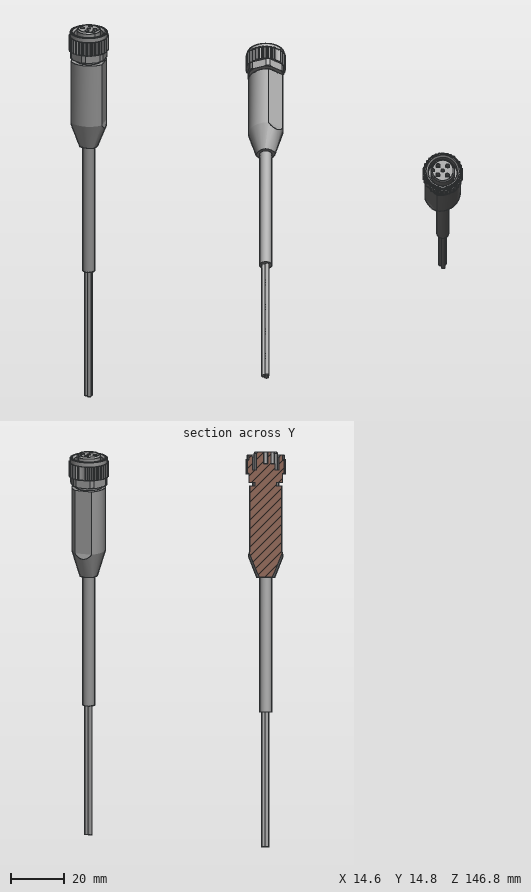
import cadquery as cq
import math

total_length = 146.8
wire_length = 50.0
cable_top = 100.1
taper_top = 109.8
grip_top = 134.2
nut_bottom = 135.3
knurl_bottom = 138.6
knurl_top = 143.9
collar_top = 145.6

wire_count = 3
wire_diameter = 1.5
wire_spacing = 1.4
cable_diameter = 4.5

grip_half_depth = 6.2
grip_half_width = 6.0
grip_corner_y = 3.2

taper_half_width = 7.2
taper_end_half_width = 3.4
taper_end_half_depth = 3.2
taper_end_corner_x = 2.8
taper_end_corner_y = 2.3

ledge_height = 1.2
ledge_width = 0.3

neck_diameter = 9.7
nut_diameter = 13.8
hex_across_flats = 12.6
hex_corner_chamfer = 0.3
collar_bevel_width = 0.3
collar_bevel_height = 0.1
bore_diameter = 10.9
bore_mouth_diameter = 12.3
bore_floor = 140.0

tooth_count = 32
tooth_tip_diameter = 14.8
tooth_tip_angle = 2.8
flute_root_diameter = 14.0

insert_diameter = 8.8
insert_top_diameter = 7.8
insert_chamfer_height = 0.6
outer_contact_count = 4
contact_circle_radius = 2.5
contact_diameter = 1.5
center_contact_diameter = 1.15
contact_depth = 4.4
key_diameter = 1.15
key_angle = -45
key_radius = 3.7


def cylinder(diameter, bottom, top):
    return cq.Workplane("XY").workplane(offset=bottom).circle(diameter / 2).extrude(top - bottom)


def frustum(bottom_diameter, top_diameter, bottom, top):
    return (
        cq.Workplane("XY").workplane(offset=bottom).circle(bottom_diameter / 2)
        .workplane(offset=top - bottom).circle(top_diameter / 2).loft()
    )


def four_arc_outline(plane, half_width, half_depth, corner_x, corner_y):
    """Closed outline of four outward arcs meeting at the corners."""
    return (
        plane.moveTo(corner_x, -corner_y)
        .threePointArc((half_width, 0), (corner_x, corner_y))
        .threePointArc((0, half_depth), (-corner_x, corner_y))
        .threePointArc((-half_width, 0), (-corner_x, -corner_y))
        .threePointArc((0, -half_depth), (corner_x, -corner_y))
        .close()
    )


def polar(radius, degrees):
    angle = math.radians(degrees)
    return (radius * math.cos(angle), radius * math.sin(angle))


def make_wires():
    """Three wires in a triangle, one of them towards -X."""
    bundle_radius = wire_spacing / math.sqrt(3)
    wires = cq.Workplane("XY")
    for index in range(wire_count):
        x, y = polar(bundle_radius, 180 + index * 360 / wire_count)
        wires = wires.union(cylinder(wire_diameter, 0, wire_length).translate((x, y, 0)))
    return wires


def make_grip():
    return (
        cq.Workplane("XY").workplane(offset=taper_top)
        .moveTo(grip_half_width, -grip_corner_y)
        .lineTo(grip_half_width, grip_corner_y)
        .threePointArc((0, grip_half_depth), (-grip_half_width, grip_corner_y))
        .lineTo(-grip_half_width, -grip_corner_y)
        .threePointArc((0, -grip_half_depth), (grip_half_width, -grip_corner_y))
        .close()
        .extrude(grip_top - taper_top)
    )


def make_taper():
    lower = four_arc_outline(
        cq.Workplane("XY").workplane(offset=cable_top),
        taper_end_half_width, taper_end_half_depth, taper_end_corner_x, taper_end_corner_y,
    )
    taper = four_arc_outline(
        lower.workplane(offset=taper_top - cable_top),
        taper_half_width, grip_half_depth, grip_half_width, grip_corner_y,
    ).loft(ruled=True)
    trim_height = taper_top - cable_top
    trim_width = trim_height * ledge_width / ledge_height
    trim = (
        cq.Workplane("XZ")
        .moveTo(grip_half_width, taper_top)
        .lineTo(grip_half_width + trim_width, taper_top - trim_height)
        .lineTo(grip_half_width + trim_width, taper_top)
        .close()
        .extrude(grip_half_depth, both=True)
    )
    return taper.cut(trim).cut(trim.mirror("YZ"))


def make_knurl():
    """Ring of narrow teeth with V-shaped flutes.

    The teeth on +X and -X are missing, which leaves a wide rounded flute there.
    """
    pitch = 360 / tooth_count
    half_count = tooth_count // 2
    half_tip = tooth_tip_angle / 2
    tip_radius = tooth_tip_diameter / 2
    root_radius = flute_root_diameter / 2
    tooth_angles = [index * pitch for index in range(tooth_count) if index % half_count != 0]
    start = tooth_angles[-1] - 360
    outline = (
        cq.Workplane("XY").workplane(offset=knurl_bottom)
        .moveTo(*polar(tip_radius, start + half_tip))
    )
    previous = start
    for angle in tooth_angles:
        flute_bottom = polar(root_radius, (previous + angle) / 2)
        flute_end = polar(tip_radius, angle - half_tip)
        tooth_missing = angle - previous > pitch
        if tooth_missing:
            outline = outline.threePointArc(flute_bottom, flute_end)
        else:
            outline = outline.lineTo(*flute_bottom).lineTo(*flute_end)
        outline = outline.threePointArc(
            polar(tip_radius, angle),
            polar(tip_radius, angle + half_tip),
        )
        previous = angle
    return outline.close().extrude(knurl_top - knurl_bottom)


def make_nut():
    corner_limit = (
        cylinder(nut_diameter, nut_bottom, knurl_bottom)
        .faces("<Z").chamfer(hex_corner_chamfer)
    )
    hexagon = (
        cq.Workplane("XY").workplane(offset=nut_bottom)
        .polygon(6, hex_across_flats, circumscribed=True)
        .extrude(knurl_bottom - nut_bottom)
        .intersect(corner_limit)
    )
    collar_shoulder = collar_top - collar_bevel_height
    collar = cylinder(nut_diameter, knurl_bottom, collar_shoulder)
    bevel = frustum(nut_diameter, nut_diameter - 2 * collar_bevel_width, collar_shoulder, collar_top)
    nut = hexagon.union(collar).union(bevel).union(make_knurl())
    mouth_depth = (bore_mouth_diameter - bore_diameter) / 2
    bore = cylinder(bore_diameter, bore_floor, collar_top)
    mouth = frustum(bore_diameter, bore_mouth_diameter, collar_top - mouth_depth, collar_top)
    return nut.cut(bore).cut(mouth)


def make_insert():
    shoulder = total_length - insert_chamfer_height
    insert = cylinder(insert_diameter, bore_floor, shoulder).union(
        frustum(insert_diameter, insert_top_diameter, shoulder, total_length))
    hole_bottom = total_length - contact_depth
    insert = insert.cut(cylinder(center_contact_diameter, hole_bottom, total_length))
    for index in range(outer_contact_count):
        x, y = polar(contact_circle_radius, index * 360 / outer_contact_count)
        insert = insert.cut(cylinder(contact_diameter, hole_bottom, total_length).translate((x, y, 0)))
    key_x, key_y = polar(key_radius, key_angle)
    key = cylinder(key_diameter, hole_bottom, total_length)
    return insert.cut(key.translate((key_x, key_y, 0)))


cable = cylinder(cable_diameter, wire_length, cable_top)
neck = cylinder(neck_diameter, grip_top, nut_bottom)
result = (
    make_wires().union(cable).union(make_taper()).union(make_grip())
    .union(neck).union(make_nut()).union(make_insert())
)